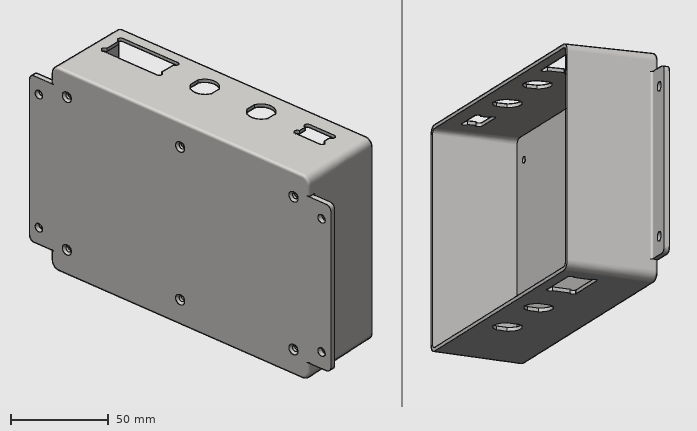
import cadquery as cq
import math

body_length = 173.1
body_height = 122.2
body_depth = 50.7
wall = 2.0
floor = 3.0
draft_angle = 0.8
draft_slope = math.tan(math.radians(draft_angle))
corner_radius = 5.0
floor_edge_radius = 1.52

flange_length = 202.0
flange_height = 100.0
flange_thickness = floor
flange_corner_radius = 3.0
flange_root_radius = 1.2
flange_hole_diameter = 4.8
flange_hole_x = 94.7
flange_hole_z = 40.0

screw_diameter = 3.5
screw_head_diameter = 6.0
countersink_angle = 90.0
screw_x = 76.0
screw_z = 45.9

window_y = 36.2
window_height = 16.4
ear_radius = 1.72
upper_window_x = -57.4
upper_window_length = 36.5
lower_window_x = -59.2
lower_window_length = 26.9
lower_ear_inset = 0.5
small_window_x = 60.2
small_window_y = 35.5
small_window_length = 16.4
small_window_height = 11.5
jack_y = 35.0
jack_diameter = 15.2
jack_width = 14.0
upper_jacks_x = (-13.0, 24.8)
lower_jacks_x = (-14.3, 24.8)


def drafted_block(length, height, depth, radius, angle, start=0.0):
    """Round-cornered block from Y = start towards +Y, narrowing by the angle (negative widens it)."""
    return (
        cq.Workplane("XZ", origin=(0, start, 0))
        .sketch()
        .rect(length, height)
        .vertices()
        .fillet(radius)
        .finalize()
        .extrude(-depth, taper=angle)
    )


def wall_cutter(x, y, side):
    """Workplane through the box centre, facing the upper (+1) or lower (-1) wall."""
    return cq.Workplane(cq.Plane(origin=(x, y, 0), xDir=(1, 0, 0), normal=(0, 0, side)))


def eared_window(x, y, length, height, side, ear_inset=0.0):
    """Rectangular opening with a round ear at each end of both short sides."""
    reach = body_height / 2
    ear_pitch = height - 2 * ear_radius
    opening = wall_cutter(x, y, side).rect(length, height).extrude(reach)
    ears = (
        wall_cutter(x, y, side)
        .rect(length - 2 * ear_inset, ear_pitch, forConstruction=True)
        .vertices()
        .circle(ear_radius)
        .extrude(reach)
    )
    return opening.union(ears)


def jack_hole(x, side):
    """Round opening with a flat on its left and right sides."""
    reach = body_height / 2
    disc = wall_cutter(x, jack_y, side).circle(jack_diameter / 2).extrude(reach)
    flats = wall_cutter(x, jack_y, side).rect(jack_width, jack_diameter).extrude(reach)
    return disc.intersect(flats)


body = drafted_block(body_length, body_height, body_depth, corner_radius, draft_angle)
body = body.faces("<Y").edges().fillet(floor_edge_radius)

flange_taper = flange_thickness * draft_slope
flange = drafted_block(
    flange_length - 2 * flange_taper,
    flange_height - 2 * flange_taper,
    flange_thickness,
    flange_corner_radius,
    -draft_angle,
)
body = body.union(flange)
end_wall_x = body_length / 2 - flange_taper
for end in (-1, 1):
    root = cq.selectors.NearestToPointSelector((end * end_wall_x, flange_thickness, 0))
    body = body.edges(root).fillet(flange_root_radius)

floor_inset = 2 * (wall + floor * draft_slope)
cavity = drafted_block(
    body_length - floor_inset,
    body_height - floor_inset,
    body_depth - floor,
    corner_radius - wall,
    draft_angle,
    start=floor,
)
body = body.cut(cavity)

body = (
    body.faces("<Y")
    .workplane(origin=(0, 0, 0))
    .rect(2 * flange_hole_x, 2 * flange_hole_z, forConstruction=True)
    .vertices()
    .hole(flange_hole_diameter)
)
screw_points = [(x, z) for x in (-screw_x, 0, screw_x) for z in (-screw_z, screw_z)]
body = (
    body.faces("<Y")
    .workplane(origin=(0, 0, 0))
    .pushPoints(screw_points)
    .cskHole(screw_diameter, screw_head_diameter, countersink_angle)
)

upper_window = eared_window(upper_window_x, window_y, upper_window_length, window_height, 1)
lower_window = eared_window(
    lower_window_x, window_y, lower_window_length, window_height, -1, lower_ear_inset
)
small_window = eared_window(small_window_x, small_window_y, small_window_length, small_window_height, 1)
body = body.cut(upper_window).cut(lower_window).cut(small_window)
for jack_x in upper_jacks_x:
    body = body.cut(jack_hole(jack_x, 1))
for jack_x in lower_jacks_x:
    body = body.cut(jack_hole(jack_x, -1))

result = body